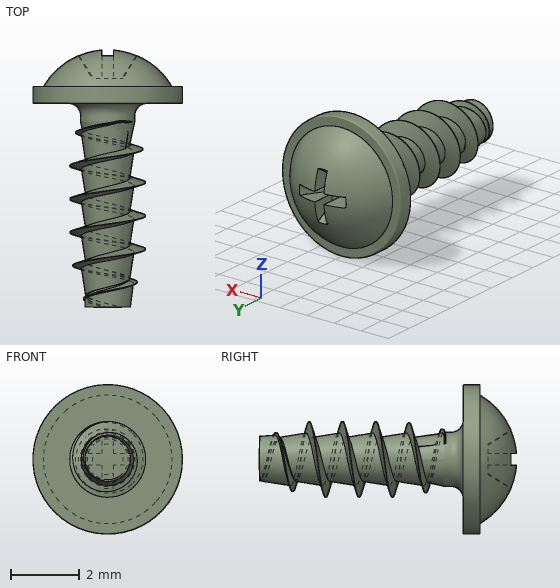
import math

import cadquery as cq


FLANGE_RADIUS = 2.2
FLANGE_THICKNESS = 0.5
FLANGE_EDGE_ROUND = 0.04
DOME_BASE_RADIUS = 1.89
HEAD_HEIGHT = 1.585

RECESS_WIDTH = 0.34
RECESS_RADIUS = 0.97
RECESS_FLOOR_RADIUS = 0.45
RECESS_DEPTH = 0.85

SHANK_LENGTH = 6.0
NECK_RADIUS = 0.8
NECK_FILLET = 0.35
NECK_END = 0.535
CORE_RADIUS = 0.6
RUNOUT_END = 1.45
TIP_RADIUS = 0.63
TIP_CROWN = 0.02
TIP_EDGE = SHANK_LENGTH - TIP_CROWN
TIP_TAPER = math.radians(10)

PITCH = 0.98
PHASE_DEPTH = 0.36
FLANK_ANGLE = math.radians(15)
CREST_RADIUS = 1.115
START_CREST_RADIUS = 0.87
CREST_FULL_FROM = 1.75
CREST_FULL_TO = 4.5
END_CREST_RADIUS = 0.64
CREST_HALF_WIDTH = 0.008
THREAD_START_ANGLE = math.radians(35)
THREAD_END_ANGLE = math.radians(2060)

STEP_RADIUS = 0.775
STEP_END_RADIUS = 0.65
STEP_TO_NEXT_CREST = 0.11
STEP_LENGTH = PITCH - STEP_TO_NEXT_CREST
BURIED_RADIUS = 0.5

SAMPLES_PER_TURN = 24
FULL_TURN = 2 * math.pi
STRETCH_ANGLE = FULL_TURN / 2


def helix_depth(angle):
    return PHASE_DEPTH + PITCH * angle / FULL_TURN


def thread_depth(angle):
    """Depth of the crest; the first stretch runs flat along the end of the neck."""
    return max(helix_depth(angle), NECK_END)


def interpolate(value, low, high, at_low, at_high):
    share = min(max((value - low) / (high - low), 0), 1)
    return at_low + share * (at_high - at_low)


def crest_radius(angle):
    depth = helix_depth(angle)
    start_depth = helix_depth(THREAD_START_ANGLE)
    end_depth = helix_depth(THREAD_END_ANGLE)
    rising = interpolate(depth, start_depth, CREST_FULL_FROM, START_CREST_RADIUS, CREST_RADIUS)
    falling = interpolate(depth, CREST_FULL_TO, end_depth, CREST_RADIUS, END_CREST_RADIUS)
    return min(rising, falling)


def step_radius(depth):
    """Widest core radius at a depth; the tip's taper limits it on the last turn."""
    return min(STEP_RADIUS, TIP_RADIUS + max(TIP_EDGE - depth, 0) * math.tan(TIP_TAPER))


def thread_profile(angle):
    """Corners (radius, depth) of the ridge and the tapering core behind it at one angle."""
    depth = thread_depth(angle)
    crest = crest_radius(angle)
    step = step_radius(depth)

    def half_width(radius):
        return CREST_HALF_WIDTH + (crest - radius) * math.tan(FLANK_ANGLE)

    return [
        (BURIED_RADIUS, depth - half_width(BURIED_RADIUS)),
        (crest, depth - CREST_HALF_WIDTH),
        (crest, depth + CREST_HALF_WIDTH),
        (step, depth + half_width(step)),
        (STEP_END_RADIUS, depth + STEP_LENGTH),
        (BURIED_RADIUS, depth + STEP_LENGTH),
    ]


def on_screw(radius, depth, angle):
    return cq.Vector(radius * math.cos(angle), -depth, radius * math.sin(angle))


def thread_stretch(start, end):
    """Solid swept by the thread profile, of varying size, between two angles about the axis."""
    count = math.ceil((end - start) / FULL_TURN * SAMPLES_PER_TURN)
    sections = []
    for i in range(count + 1):
        angle = start + (end - start) * i / count
        sections.append([on_screw(radius, depth, angle) for radius, depth in thread_profile(angle)])
    tracks = [cq.Edge.makeSpline(list(track)) for track in zip(*sections)]
    faces = []
    for track, next_track in zip(tracks, tracks[1:] + tracks[:1]):
        faces.append(cq.Face.makeRuledSurface(track, next_track))
    for end_section in (sections[0], sections[-1]):
        faces.append(cq.Face.makeFromWires(cq.Wire.makePolygon(end_section, close=True)))
    return cq.Workplane(obj=cq.Solid.makeSolid(cq.Shell.makeShell(faces)).fix())


def revolve_about_axis(outline):
    return outline.close().revolve(360, (0, 0, 0), (0, 1, 0))


def head():
    flange = cq.Workplane("XZ").circle(FLANGE_RADIUS).extrude(-FLANGE_THICKNESS)
    flange = flange.edges().fillet(FLANGE_EDGE_ROUND)
    dome_height = HEAD_HEIGHT - FLANGE_THICKNESS
    dome_sphere_radius = (DOME_BASE_RADIUS**2 + dome_height**2) / (2 * dome_height)
    half_chord = DOME_BASE_RADIUS / 2
    arc_middle_y = HEAD_HEIGHT - dome_sphere_radius + math.sqrt(dome_sphere_radius**2 - half_chord**2)
    dome = revolve_about_axis(
        cq.Workplane("XY")
        .moveTo(0, FLANGE_THICKNESS / 2)
        .lineTo(DOME_BASE_RADIUS, FLANGE_THICKNESS / 2)
        .lineTo(DOME_BASE_RADIUS, FLANGE_THICKNESS)
        .threePointArc((half_chord, arc_middle_y), (0, HEAD_HEIGHT))
    )
    return flange.union(dome)


def cross_recess():
    """Two crossed slots whose ends slope inward to the floor."""
    floor_y = HEAD_HEIGHT - RECESS_DEPTH
    span = 2 * RECESS_RADIUS
    slots = cq.Workplane("XZ", origin=(0, floor_y, 0)).rect(span, RECESS_WIDTH).extrude(-RECESS_DEPTH)
    slots = slots.union(
        cq.Workplane("XZ", origin=(0, floor_y, 0)).rect(RECESS_WIDTH, span).extrude(-RECESS_DEPTH)
    )
    cone = revolve_about_axis(
        cq.Workplane("XY")
        .moveTo(0, floor_y)
        .lineTo(RECESS_FLOOR_RADIUS, floor_y)
        .lineTo(RECESS_RADIUS, HEAD_HEIGHT)
        .lineTo(0, HEAD_HEIGHT)
    )
    return slots.intersect(cone)


def shank_core():
    """Neck with its fillet, the neck's taper, and the plain core down to the crowned tip."""
    fillet_reach = NECK_FILLET * (1 - math.sqrt(0.5))
    return revolve_about_axis(
        cq.Workplane("XY")
        .moveTo(0, FLANGE_THICKNESS / 2)
        .lineTo(NECK_RADIUS + NECK_FILLET, FLANGE_THICKNESS / 2)
        .lineTo(NECK_RADIUS + NECK_FILLET, 0)
        .threePointArc((NECK_RADIUS + fillet_reach, -fillet_reach), (NECK_RADIUS, -NECK_FILLET))
        .lineTo(NECK_RADIUS, -NECK_END)
        .lineTo(CORE_RADIUS, -RUNOUT_END)
        .lineTo(CORE_RADIUS, -TIP_EDGE)
        .lineTo(0, -SHANK_LENGTH)
    )


def threaded_shank():
    """Core with the thread joined on stretch by stretch, trimmed flush with the tip."""
    shank = shank_core()
    trim = cq.Workplane("XZ").circle(FLANGE_RADIUS).extrude(TIP_EDGE)
    stretches = math.ceil((THREAD_END_ANGLE - THREAD_START_ANGLE) / STRETCH_ANGLE)
    for i in range(stretches):
        start = THREAD_START_ANGLE + i * STRETCH_ANGLE
        end = min(start + STRETCH_ANGLE, THREAD_END_ANGLE)
        shank = shank.union(thread_stretch(start, end).intersect(trim), clean=False)
    return shank


result = head().cut(cross_recess()).union(threaded_shank())